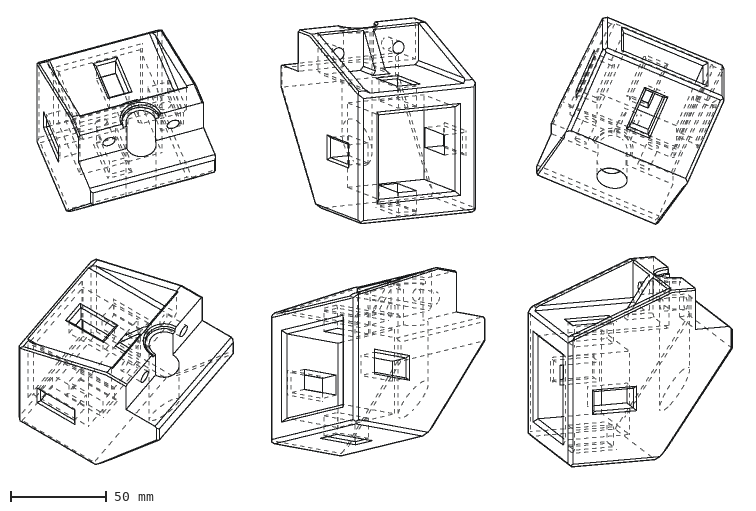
import cadquery as cq
import math

LENGTH = 90.0
WIDTH = 69.0
HEIGHT = 91.0
HALF_WIDTH = WIDTH / 2
DECK_Z = WIDTH
MARGIN = 9.1

BOX_BEVEL = 2.0
SIDE_BEVEL = 1.0
WINDOW_BEVEL = 1.3

BOTTOM_LENGTH = 47.9
CORNER_CUT = 6.2
BEVEL_RUNOUT = 3.2
TAIL_BOTTOM_Z = 56.7
TAIL_BEVEL_Z = 57.2
STEP_X = 69.5
WALL_X = 56.6

BOX_WALL = 12.0
SOCKET_SIZE = WIDTH - 2 * BOX_WALL
SOCKET_DEPTH = 37.0
SIDE_WINDOW_X = 24.9
DECK_WINDOW_X = 23.4
WINDOW_LENGTH = 21.6
WINDOW_WIDTH = 10.65

CHEEK = 5.0
RIB_WIDTH = 5.7
RIB_FRONT_X = 41.9

ROD_DIAMETER = 15.65
COUNTERBORE_DIAMETER = 19.8
COUNTERBORE_DEPTH = 3.0
SCREW_DIAMETER = 6.55
SCREW_Y = 17.65
SCREW_Z = 79.0


def side_body():
    """Side outline extruded over the full width."""
    cheek_slope = (HEIGHT - DECK_Z) / WALL_X
    cheek_start_x = BOX_BEVEL / (1 - cheek_slope)
    cheek_start_z = DECK_Z + cheek_slope * cheek_start_x
    outline = [
        (BOX_BEVEL, 0),
        (BOTTOM_LENGTH, 0),
        (BOTTOM_LENGTH + CORNER_CUT, CORNER_CUT),
        (LENGTH, TAIL_BOTTOM_Z),
        (LENGTH, DECK_Z - BOX_BEVEL),
        (LENGTH - BOX_BEVEL, DECK_Z),
        (STEP_X, DECK_Z),
        (STEP_X, HEIGHT),
        (WALL_X, HEIGHT),
        (cheek_start_x, cheek_start_z),
        (0, DECK_Z - BOX_BEVEL),
        (0, BOX_BEVEL),
    ]
    return cq.Workplane("XZ").polyline(outline).close().extrude(HALF_WIDTH, both=True)


def side_edge_cutters(start, end):
    """Pair of wedges beveling both side edges along the line from start to end (X, Z).

    The line is where the bevel meets the flat side face, at 45 degrees. The points
    run counter-clockwise round the outline, so outward lies to their right.
    """
    run = end[0] - start[0]
    rise = end[1] - start[1]
    plane = cq.Plane(
        origin=(start[0], 0, start[1]),
        xDir=(rise, 0, -run),
        normal=(run, 0, rise),
    )
    cutters = cq.Workplane(plane).workplane(offset=-MARGIN)
    for side in (-1, 1):
        cutters = cutters.polyline([
            (-MARGIN, side * (HALF_WIDTH + MARGIN)),
            (MARGIN, side * (HALF_WIDTH + MARGIN)),
            (MARGIN, side * (HALF_WIDTH - MARGIN)),
        ]).close()
    return cutters.extrude(math.hypot(run, rise) + 2 * MARGIN)


def recess():
    """Open space above the deck between the cheeks, with beveled floor corners."""
    half = HALF_WIDTH - CHEEK
    section = [
        (-half + BOX_BEVEL, DECK_Z),
        (half - BOX_BEVEL, DECK_Z),
        (half, DECK_Z + BOX_BEVEL),
        (half, HEIGHT + MARGIN),
        (-half, HEIGHT + MARGIN),
        (-half, DECK_Z + BOX_BEVEL),
    ]
    return (
        cq.Workplane("YZ").workplane(offset=-MARGIN)
        .polyline(section).close().extrude(WALL_X + MARGIN)
    )


def rib():
    """Sloping rib bracing the clamp wall, splayed where it stands on the deck."""
    half = RIB_WIDTH / 2
    section = [
        (-half - BOX_BEVEL, DECK_Z),
        (half + BOX_BEVEL, DECK_Z),
        (half, DECK_Z + BOX_BEVEL),
        (half, HEIGHT),
        (-half, HEIGHT),
        (-half, DECK_Z + BOX_BEVEL),
    ]
    bar = cq.Workplane("YZ").polyline(section).close().extrude(WALL_X)
    slope = (
        cq.Workplane("XZ")
        .polyline([(RIB_FRONT_X, DECK_Z), (WALL_X, DECK_Z), (WALL_X, HEIGHT)])
        .close().extrude(HALF_WIDTH, both=True)
    )
    return bar.intersect(slope)


def wall_edge_cutter():
    """Wedge beveling the upper front edge of the clamp wall and the rib tip."""
    edge_x = WALL_X + SIDE_BEVEL
    return (
        cq.Workplane("XZ")
        .polyline([
            (edge_x, HEIGHT),
            (edge_x - MARGIN, HEIGHT),
            (edge_x - MARGIN, HEIGHT - MARGIN),
        ])
        .close().extrude(HALF_WIDTH - CHEEK, both=True)
    )


def flared_mouth(plane, length, width, bevel):
    """Tapered opening that starts beveled on the plane and narrows along its normal."""
    return (
        cq.Workplane(plane)
        .rect(length + 2 * bevel, width + 2 * bevel)
        .workplane(offset=bevel)
        .rect(length, width)
        .loft(ruled=True)
    )


def socket():
    """Blind square socket entering from the front."""
    mid_z = DECK_Z / 2
    hole = cq.Workplane("XY").box(SOCKET_DEPTH, SOCKET_SIZE, SOCKET_SIZE, centered=(False, True, True))
    front = cq.Plane(origin=(0, 0, mid_z), xDir=(0, 1, 0), normal=(1, 0, 0))
    mouth = flared_mouth(front, SOCKET_SIZE, SOCKET_SIZE, BOX_BEVEL)
    return hole.translate((0, 0, mid_z)).union(mouth)


def windows():
    """Beveled windows through all four walls of the box section."""
    mid_z = DECK_Z / 2
    side_slot = cq.Workplane("XY").box(WINDOW_LENGTH, WIDTH, WINDOW_WIDTH)
    deck_slot = cq.Workplane("XY").box(WINDOW_LENGTH, WINDOW_WIDTH, DECK_Z)
    cutters = side_slot.translate((SIDE_WINDOW_X, 0, mid_z))
    cutters = cutters.union(deck_slot.translate((DECK_WINDOW_X, 0, mid_z)))
    mouths = [
        ((SIDE_WINDOW_X, -HALF_WIDTH, mid_z), (0, 1, 0)),
        ((SIDE_WINDOW_X, HALF_WIDTH, mid_z), (0, -1, 0)),
        ((DECK_WINDOW_X, 0, 0), (0, 0, 1)),
        ((DECK_WINDOW_X, 0, DECK_Z), (0, 0, -1)),
    ]
    for centre, inward in mouths:
        outer_face = cq.Plane(origin=centre, xDir=(1, 0, 0), normal=inward)
        cutters = cutters.union(flared_mouth(outer_face, WINDOW_LENGTH, WINDOW_WIDTH, WINDOW_BEVEL))
    return cutters


def rod_hole():
    """Vertical rod hole on the step face, with a beveled counterbore from the top."""
    bore_radius = ROD_DIAMETER / 2
    seat_radius = COUNTERBORE_DIAMETER / 2
    seat_z = HEIGHT - COUNTERBORE_DEPTH
    section = [
        (0, -MARGIN),
        (bore_radius, -MARGIN),
        (bore_radius, seat_z),
        (seat_radius, seat_z),
        (seat_radius, HEIGHT - SIDE_BEVEL),
        (seat_radius + SIDE_BEVEL, HEIGHT),
        (0, HEIGHT),
    ]
    hole = cq.Workplane("XZ").polyline(section).close().revolve(360, (0, 0, 0), (0, 1, 0))
    return hole.translate((STEP_X, 0, 0))


def screw_holes():
    """Two horizontal screw holes through the clamp wall."""
    return (
        cq.Workplane("YZ").workplane(offset=WALL_X - MARGIN)
        .pushPoints([(-SCREW_Y, SCREW_Z), (SCREW_Y, SCREW_Z)])
        .circle(SCREW_DIAMETER / 2)
        .extrude(STEP_X - WALL_X + 2 * MARGIN)
    )


tail_bevel_x = LENGTH - SIDE_BEVEL
top_bevel_z = HEIGHT - SIDE_BEVEL
cheek_bevel_drop = SIDE_BEVEL * math.hypot(WALL_X, HEIGHT - DECK_Z) / WALL_X
BEVEL_LINES = [
    ((BOX_BEVEL, DECK_Z), (BOX_BEVEL, 0)),
    ((0, BOX_BEVEL), (BOTTOM_LENGTH, BOX_BEVEL)),
    ((BOTTOM_LENGTH + BEVEL_RUNOUT, BEVEL_RUNOUT), (tail_bevel_x, TAIL_BEVEL_Z)),
    ((tail_bevel_x, TAIL_BEVEL_Z), (tail_bevel_x, DECK_Z)),
    ((STEP_X, top_bevel_z), (WALL_X, top_bevel_z)),
    ((WALL_X, HEIGHT - cheek_bevel_drop), (0, DECK_Z - cheek_bevel_drop)),
]

result = side_body()
for line_start, line_end in BEVEL_LINES:
    result = result.cut(side_edge_cutters(line_start, line_end))

result = result.cut(recess()).union(rib()).cut(wall_edge_cutter())
result = result.cut(socket()).cut(windows())
result = result.cut(rod_hole()).cut(screw_holes())